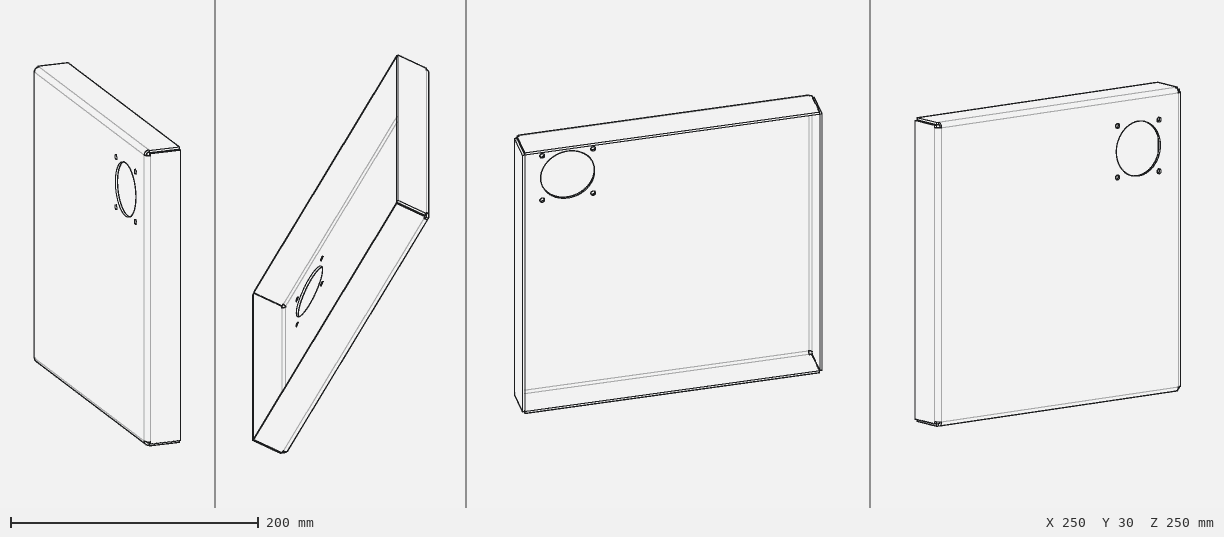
import cadquery as cq

side = 250.0
depth = 30.0
sheet = 2.0
inner_bend_radius = 2.0
outer_bend_radius = inner_bend_radius + sheet
corner_gap = 0.1

opening_diameter = 45.0
opening_x = 80.0
opening_z = 80.0
screw_hole_diameter = 4.0
screw_circle_diameter = 60.0
screw_count = 4
first_screw_angle = 45.0

front_y = -depth / 2
back_y = depth / 2
bend_end_y = front_y + outer_bend_radius
face_side = side - 2 * outer_bend_radius
flange_length = side - 2 * (sheet + corner_gap)


def make_face():
    """Flat front sheet, reaching to the start of the bends."""
    return cq.Workplane("XY").box(face_side, sheet, face_side).translate((0, front_y + sheet / 2, 0))


def make_top_flange():
    """Top bend and the flat wall behind it; the bend is shorter to relieve the corners."""
    outer_z = side / 2
    inner_z = outer_z - sheet
    bend_z = outer_z - outer_bend_radius
    bend = (
        cq.Workplane("YZ")
        .moveTo(front_y, bend_z)
        .radiusArc((bend_end_y, outer_z), outer_bend_radius)
        .lineTo(bend_end_y, inner_z)
        .radiusArc((front_y + sheet, bend_z), -inner_bend_radius)
        .close()
        .extrude(face_side / 2, both=True)
    )
    wall_depth = back_y - bend_end_y
    wall = (
        cq.Workplane("XY")
        .box(flange_length, wall_depth, sheet)
        .translate((0, bend_end_y + wall_depth / 2, outer_z - sheet / 2))
    )
    return bend.union(wall)


def make_face_holes():
    """Cutters for the round opening and its screw holes."""
    plane = cq.Workplane("XZ", origin=(opening_x, back_y, opening_z))
    opening = plane.circle(opening_diameter / 2).extrude(depth)
    screws = (
        plane.polarArray(screw_circle_diameter / 2, first_screw_angle, 360, screw_count)
        .circle(screw_hole_diameter / 2)
        .extrude(depth)
    )
    return opening.union(screws)


tray = make_face()
top_flange = make_top_flange()
for angle in (0, 90, 180, 270):
    tray = tray.union(top_flange.rotate((0, 0, 0), (0, 1, 0), angle))

result = tray.cut(make_face_holes())